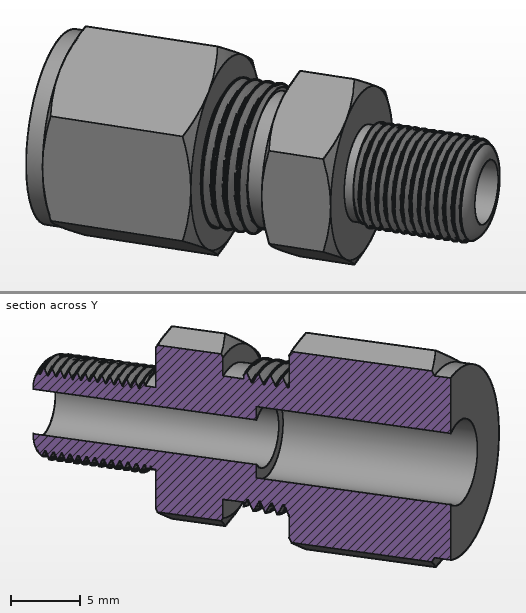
import cadquery as cq
import math

OVERALL_LENGTH = 32.77
COLLAR_LENGTH = 1.27
NUT_END = 12.7
NUT_THREAD_END = 16.26
BODY_HEX_START = 17.85
BODY_HEX_END = 23.16
STUD_THREAD_START = 23.95

NUT_ACROSS_FLATS = 14.29
BODY_ACROSS_FLATS = 12.7
HEX_CHAMFER_ANGLE = 30.0

SHOULDER_DIAMETER = 10.0
NECK_DIAMETER = 7.12

NUT_THREAD_DIAMETER = 11.11
NUT_THREAD_PITCH = 0.941
NUT_THREAD_CREST_ON_TOP = 14.12
STUD_THREAD_DIAMETER = 7.75
STUD_THREAD_PITCH = 0.65
STUD_THREAD_CREST_ON_TOP = 24.07
THREAD_DEPTH_IN_PITCHES = 0.8
CREST_FLAT_IN_PITCHES = 1 / 20
FLANK_HALF_ANGLE = 30.0
FLANK_CURVE_STEPS = 5
CREST_TO_TOP_TURN = 180.0
STUD_TIP_ROUND = 1.37
TOOL_CLEARANCE = 0.1

TUBE_BORE_DIAMETER = 6.35
TUBE_BORE_DEPTH = 15.24
THROUGH_BORE_DIAMETER = 4.75


def cylinder(diameter, start, end):
    """Solid cylinder on the X axis between two stations."""
    return cq.Workplane("YZ", origin=(start, 0, 0)).circle(diameter / 2).extrude(end - start)


def chamfered_hex(across_flats, start, end):
    """Hexagonal prism on the X axis with its corners turned to cones at both ends."""
    corner_radius = across_flats / 2 / math.cos(math.pi / 6)
    flat_radius = across_flats / 2
    chamfer = (corner_radius - flat_radius) * math.tan(math.radians(HEX_CHAMFER_ANGLE))
    prism = (
        cq.Workplane("YZ", origin=(start, 0, 0))
        .polygon(6, 2 * corner_radius)
        .extrude(end - start)
        .rotate((0, 0, 0), (1, 0, 0), 90)
    )
    turned_blank = (
        cq.Workplane("XY")
        .moveTo(start, 0)
        .lineTo(start, flat_radius)
        .lineTo(start + chamfer, corner_radius)
        .lineTo(end - chamfer, corner_radius)
        .lineTo(end, flat_radius)
        .lineTo(end, 0)
        .close()
        .revolve(360, (0, 0, 0), (1, 0, 0))
    )
    return prism.intersect(turned_blank)


def thread_section(diameter, pitch):
    """Cross-section of a single-start thread: crest arc at angle 0, spiral flanks and a root arc."""
    crest_radius = diameter / 2
    depth = THREAD_DEPTH_IN_PITCHES * pitch
    root_radius = crest_radius - depth
    crest_half_sweep = math.pi * CREST_FLAT_IN_PITCHES
    flank_sweep = 2 * math.pi * THREAD_DEPTH_IN_PITCHES * math.tan(math.radians(FLANK_HALF_ANGLE))
    root_angle = crest_half_sweep + flank_sweep

    def polar(radius, angle):
        return (radius * math.cos(angle), radius * math.sin(angle))

    def falling_flank(t):
        return polar(crest_radius - depth * t, crest_half_sweep + flank_sweep * t)

    def rising_flank(t):
        return polar(root_radius + depth * t, flank_sweep * t - root_angle)

    return (
        cq.Workplane("XY")
        .moveTo(*polar(crest_radius, -crest_half_sweep))
        .threePointArc(polar(crest_radius, 0), polar(crest_radius, crest_half_sweep))
        .parametricCurve(falling_flank, N=FLANK_CURVE_STEPS, makeWire=False)
        .moveTo(*polar(root_radius, root_angle))
        .threePointArc(polar(root_radius, math.pi), polar(root_radius, -root_angle))
        .parametricCurve(rising_flank, N=FLANK_CURVE_STEPS, makeWire=False)
        .wire()
    )


def threaded_rod(diameter, pitch, crest_on_top, start, end):
    """Left-hand threaded rod on the X axis; one crest passes the +Z side at crest_on_top."""
    length = end - start
    start_angle = 360 * (crest_on_top - start) / pitch
    return (
        thread_section(diameter, pitch)
        .twistExtrude(length, -360 * length / pitch)
        .rotate((0, 0, 0), (0, 0, 1), start_angle + CREST_TO_TOP_TURN)
        .rotate((0, 0, 0), (0, 1, 0), 90)
        .translate((start, 0, 0))
    )


def stud_tip_waste():
    """Ring outside the rounded outer end of the stud thread."""
    crest_radius = STUD_THREAD_DIAMETER / 2
    face_radius = crest_radius - STUD_TIP_ROUND
    round_start = OVERALL_LENGTH - STUD_TIP_ROUND
    arc_offset = STUD_TIP_ROUND * math.sqrt(0.5)
    return (
        cq.Workplane("XY")
        .moveTo(round_start, crest_radius)
        .threePointArc(
            (round_start + arc_offset, face_radius + arc_offset),
            (OVERALL_LENGTH, face_radius),
        )
        .lineTo(OVERALL_LENGTH + TOOL_CLEARANCE, face_radius)
        .lineTo(OVERALL_LENGTH + TOOL_CLEARANCE, crest_radius + TOOL_CLEARANCE)
        .lineTo(round_start, crest_radius + TOOL_CLEARANCE)
        .close()
        .revolve(360, (0, 0, 0), (1, 0, 0))
    )


collar = cylinder(NUT_ACROSS_FLATS, 0, COLLAR_LENGTH)
nut = chamfered_hex(NUT_ACROSS_FLATS, COLLAR_LENGTH, NUT_END)
nut_thread = threaded_rod(
    NUT_THREAD_DIAMETER, NUT_THREAD_PITCH, NUT_THREAD_CREST_ON_TOP, NUT_END, NUT_THREAD_END
)
shoulder = cylinder(SHOULDER_DIAMETER, NUT_THREAD_END, BODY_HEX_START)
body_hex = chamfered_hex(BODY_ACROSS_FLATS, BODY_HEX_START, BODY_HEX_END)
neck = cylinder(NECK_DIAMETER, BODY_HEX_END, STUD_THREAD_START)
stud_rod = threaded_rod(
    STUD_THREAD_DIAMETER, STUD_THREAD_PITCH, STUD_THREAD_CREST_ON_TOP, STUD_THREAD_START, OVERALL_LENGTH
)
stud_thread = stud_rod.cut(stud_tip_waste())

nut_half = collar.union(nut).union(nut_thread)
stud_half = shoulder.union(body_hex).union(neck).union(stud_thread)
tube_bore = cylinder(TUBE_BORE_DIAMETER, 0, TUBE_BORE_DEPTH)
through_bore = cylinder(THROUGH_BORE_DIAMETER, TUBE_BORE_DEPTH, OVERALL_LENGTH)
result = nut_half.union(stud_half).cut(tube_bore.union(through_bore))